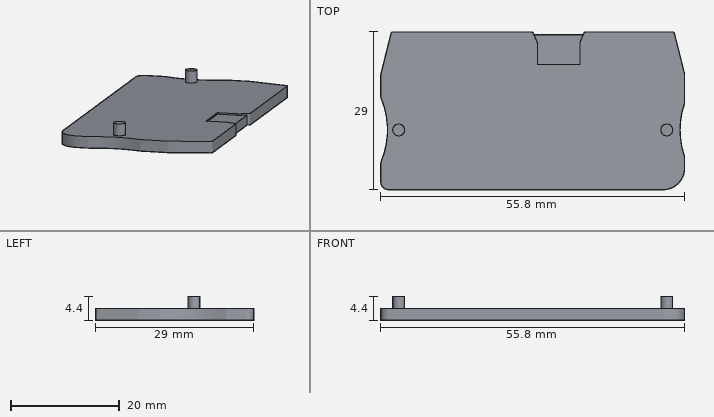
import cadquery as cq
import math

length = 55.8
width = 29.0
plate_thickness = 2.2
total_height = 4.4
shoulder_y = 21.2
shoulder_inset = 1.95

scoop_y = 11.0
scoop_radius = 15.0
left_scoop_depth = 1.2
right_scoop_depth = 0.85

front_left_radius = 1.5
front_right_radius = 4.0
back_corner_radius = 0.5
soft_corner_radius = 1.0

pin_diameter = 2.2
pin_inset = 3.3

recess_center_x = 32.65
recess_width = 7.8
recess_length = 5.95
recess_depth = 0.3
flare_length = 2.0
flare_offset = 0.85
floor_setback = 0.5


def half_chord(depth):
    """Half the opening of a scoop of the given depth."""
    return math.sqrt(scoop_radius**2 - (scoop_radius - depth) ** 2)


def round_corners(body, corners, radius):
    """Round the vertical edges that stand at the given corner points."""
    half = 0.005
    for x, y in corners:
        box = cq.selectors.BoxSelector(
            (x - half, y - half, -width), (x + half, y + half, width)
        )
        body = body.edges("|Z").edges(box).fillet(radius)
    return body


def make_plate():
    left_half = half_chord(left_scoop_depth)
    right_half = half_chord(right_scoop_depth)
    body = (
        cq.Workplane("XY")
        .lineTo(length, 0)
        .lineTo(length, scoop_y - right_half)
        .threePointArc((length - right_scoop_depth, scoop_y), (length, scoop_y + right_half))
        .lineTo(length, shoulder_y)
        .lineTo(length - shoulder_inset, width)
        .lineTo(shoulder_inset, width)
        .lineTo(0, shoulder_y)
        .lineTo(0, scoop_y + left_half)
        .threePointArc((left_scoop_depth, scoop_y), (0, scoop_y - left_half))
        .close()
        .extrude(plate_thickness)
    )
    soft_corners = [
        (0, shoulder_y),
        (length, shoulder_y),
        (0, scoop_y + left_half),
        (0, scoop_y - left_half),
        (length, scoop_y + right_half),
        (length, scoop_y - right_half),
    ]
    back_corners = [(shoulder_inset, width), (length - shoulder_inset, width)]
    body = round_corners(body, soft_corners, soft_corner_radius)
    body = round_corners(body, back_corners, back_corner_radius)
    body = round_corners(body, [(0, 0)], front_left_radius)
    return round_corners(body, [(length, 0)], front_right_radius)


def cut_recess(body):
    """Cut the flared opening through the plate, then put the lowered floor back."""
    left = recess_center_x - recess_width / 2
    right = recess_center_x + recess_width / 2
    bottom = width - recess_length
    neck = width - flare_length
    opening = (
        cq.Workplane("XY")
        .polyline([
            (left, bottom),
            (right, bottom),
            (right, neck),
            (right + flare_offset, width),
            (left - flare_offset, width),
            (left, neck),
        ])
        .close()
        .extrude(plate_thickness)
    )
    mouth_corners = [(left - flare_offset, width), (right + flare_offset, width)]
    body = round_corners(body.cut(opening), mouth_corners, back_corner_radius)

    floor_limit = (
        cq.Workplane("XY")
        .rect(length, width - floor_setback, centered=False)
        .extrude(plate_thickness - recess_depth)
    )
    return body.union(opening.intersect(floor_limit))


def make_pins():
    return (
        cq.Workplane("XY")
        .pushPoints([(pin_inset, scoop_y), (length - pin_inset, scoop_y)])
        .circle(pin_diameter / 2)
        .extrude(total_height)
    )


result = cut_recess(make_plate()).union(make_pins())